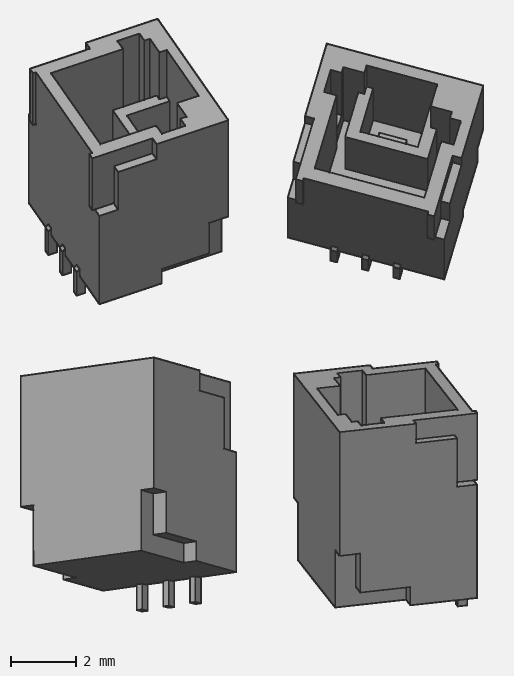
import cadquery as cq


width = 5.0
depth = 4.4
height = 6.0

front_wall = 0.4
cavity_floor = 1.0
key_floor = 2.0
cavity_half_width = 1.75
shoulder_half_width = 1.8
key_half_width = 2.15
rear_bay_half_width = 1.13
cavity_back = 4.05
left_key_front, left_key_back = 2.86, 3.61
right_key_front, right_key_back = 2.3, 3.1
left_shoulder_back = 3.8
right_shoulder_back = 3.31

front_ledge_depth = 0.35
front_ledge_top = 2.0
frame_top = 4.0
frame_half_width = 1.32
frame_front = 2.3
frame_bar = 0.29
pocket_half_width = 0.92
latch_half_width = 0.44
latch_depth = 0.46
latch_top = 3.0

recess_depth = 0.51
recess_length = 1.95
recess_height = 2.24
recess_leg = 0.64
clip_thickness = 0.22
clip_gap = 0.03
clip_overhang = 0.1

notch_depth = 0.48
notch_length = 2.27
notch_height = 1.9
notch_leg_length = 0.66
notch_leg_height = 0.61

pin_count = 3
pin_pitch = 1.0
pin_width = 0.21
pin_front = -0.1
pin_back = 0.2
pin_bottom = -0.8
pin_top = 0.3
pin_chamfer = 0.1


def block(x0, x1, y0, y1, z0, z1):
    """Box between two opposite corners."""
    return cq.Workplane("XY").box(x1 - x0, y1 - y0, z1 - z0, centered=False).translate((x0, y0, z0))


def side_plate(outline, x_start, thickness):
    """Y-Z outline extruded along +X from x_start."""
    return cq.Workplane("YZ").polyline(outline).close().extrude(thickness).translate((x_start, 0, 0))


def on_both_sides(shape):
    """Shape together with its mirror image about the middle of the width."""
    return shape.union(shape.mirror("YZ"))


def cavity():
    """Well for the mating plug, with a shallower keyway in each side wall."""
    outline = [
        (-cavity_half_width, front_wall),
        (cavity_half_width, front_wall),
        (cavity_half_width, right_key_front),
        (shoulder_half_width, right_key_front),
        (shoulder_half_width, right_shoulder_back),
        (rear_bay_half_width, right_shoulder_back),
        (rear_bay_half_width, cavity_back),
        (-rear_bay_half_width, cavity_back),
        (-rear_bay_half_width, left_shoulder_back),
        (-shoulder_half_width, left_shoulder_back),
        (-shoulder_half_width, left_key_front),
        (-cavity_half_width, left_key_front),
    ]
    well = cq.Workplane("XY").polyline(outline).close().extrude(height - cavity_floor)
    left_keyway = block(-key_half_width, -shoulder_half_width,
                        left_key_front, left_key_back, key_floor, height)
    right_keyway = block(shoulder_half_width, key_half_width,
                         right_key_front, right_key_back, key_floor, height)
    return well.translate((0, 0, cavity_floor)).union(left_keyway).union(right_keyway)


def cavity_fittings():
    """Front ledge, U-shaped frame and latch block left standing inside the cavity."""
    pocket_front = frame_front + frame_bar
    ledge = block(-cavity_half_width, cavity_half_width,
                  front_wall, front_wall + front_ledge_depth, cavity_floor, front_ledge_top)
    frame = block(-frame_half_width, frame_half_width,
                  frame_front, cavity_back, cavity_floor, frame_top)
    pocket = block(-pocket_half_width, pocket_half_width,
                   pocket_front, cavity_back, cavity_floor, frame_top)
    latch = block(-latch_half_width, latch_half_width,
                  pocket_front, pocket_front + latch_depth, cavity_floor, latch_top)
    return frame.cut(pocket).union(ledge).union(latch)


def clip_outline(front, bottom):
    """L-shaped outline in the upper front corner, reaching the given front and bottom."""
    return [
        (front, height),
        (recess_length, height),
        (recess_length, height - recess_leg),
        (recess_leg, height - recess_leg),
        (recess_leg, bottom),
        (front, bottom),
    ]


def clip_recesses():
    """L-shaped side recesses that hold the clips."""
    bottom = height - recess_height
    return on_both_sides(side_plate(clip_outline(0, bottom), -width / 2, recess_depth))


def clips():
    """Thin plates against the inner walls of the recesses, short of their floor and proud of the front."""
    bottom = height - recess_height + clip_gap
    x_start = -width / 2 + recess_depth - clip_thickness
    return on_both_sides(side_plate(clip_outline(-clip_overhang, bottom), x_start, clip_thickness))


def rear_notches():
    """L-shaped side notches in the lower rear corners."""
    outline = [
        (depth, 0),
        (depth - notch_length, 0),
        (depth - notch_length, notch_leg_height),
        (depth - notch_leg_length, notch_leg_height),
        (depth - notch_leg_length, notch_height),
        (depth, notch_height),
    ]
    return on_both_sides(side_plate(outline, -width / 2, notch_depth))


def pins():
    """Row of pins below the front wall, each chamfered on its upper front edge."""
    outline = [
        (pin_front, pin_bottom),
        (pin_back, pin_bottom),
        (pin_back, pin_top),
        (pin_front + pin_chamfer, pin_top),
        (pin_front, pin_top - pin_chamfer),
    ]
    row = cq.Workplane("YZ")
    for index in range(pin_count):
        x_centre = (index - (pin_count - 1) / 2) * pin_pitch
        row = row.add(side_plate(outline, x_centre - pin_width / 2, pin_width))
    return row.combine()


housing = block(-width / 2, width / 2, 0, depth, 0, height)
housing = housing.cut(cavity().cut(cavity_fittings()))
housing = housing.cut(clip_recesses()).cut(rear_notches())
result = housing.union(clips()).union(pins())